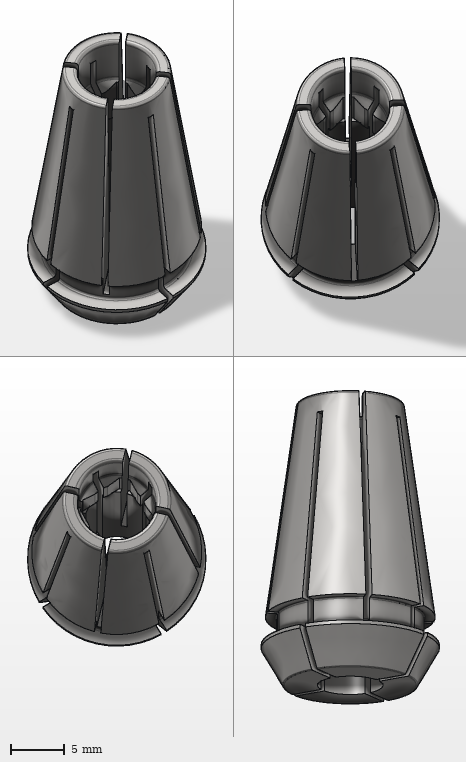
import cadquery as cq
import math

height = 27.5

flange_radius = 8.4
flange_cone_top = 3.6
flange_top = 3.95
nose_angle = 30.0
nose_radius = flange_radius - flange_cone_top * math.tan(math.radians(nose_angle))
nose_fillet = 0.16

groove_radius = 6.95
groove_top = 6.65
groove_bottom_fillet = 0.25
groove_top_fillet = 0.15

taper_angle = 8.0
taper_base_radius = 8.0
taper_top_radius = taper_base_radius - (height - groove_top) * math.tan(math.radians(taper_angle))
rim_fillet = 0.28

shank_bore_radius = 3.08
pilot_radius = 2.83
square_half_width = 2.75
square_corner_radius = 3.4
square_bottom = 18.0
relief_radius = 3.7
relief_bottom = 22.75
relief_floor_angle = 45.0
relief_floor_fillet = 0.38
rim_bore_fillet = 0.35

slot_width = 0.6
lower_slot_top = 25.55
upper_slot_bottom = 4.5
slot_length = 3 * flange_radius


def outer_body():
    """Turned outside: nose cone, flange, groove and taper."""
    body = (
        cq.Workplane("XZ")
        .moveTo(0, 0)
        .lineTo(nose_radius, 0)
        .lineTo(flange_radius, flange_cone_top)
        .lineTo(flange_radius, flange_top)
        .lineTo(groove_radius + groove_bottom_fillet, flange_top)
        .radiusArc((groove_radius, flange_top + groove_bottom_fillet), groove_bottom_fillet)
        .lineTo(groove_radius, groove_top - groove_top_fillet)
        .radiusArc((groove_radius + groove_top_fillet, groove_top), groove_top_fillet)
        .lineTo(taper_base_radius, groove_top)
        .lineTo(taper_top_radius, height)
        .lineTo(0, height)
        .close()
        .revolve(360, (0, 0, 0), (0, 1, 0))
    )
    body = body.faces(">Z").edges().fillet(rim_fillet)
    return body.faces("<Z").edges().fillet(nose_fillet)


def stepped_bore():
    """Material removed from the axis: shank bore, square drive and relief bore."""
    shank_bore = cq.Workplane("XY").circle(shank_bore_radius).extrude(square_bottom)
    pilot = cq.Workplane("XY").circle(pilot_radius).extrude(relief_bottom)

    square_plane = cq.Workplane("XY", origin=(0, 0, square_bottom))
    square_height = relief_bottom - square_bottom
    square = square_plane.rect(2 * square_half_width, 2 * square_half_width).extrude(square_height)
    square = square.intersect(square_plane.circle(square_corner_radius).extrude(square_height))

    cone_depth = relief_radius * math.tan(math.radians(relief_floor_angle))
    relief = (
        cq.Workplane("XZ")
        .moveTo(0, relief_bottom - cone_depth)
        .lineTo(relief_radius, relief_bottom)
        .lineTo(relief_radius, height)
        .lineTo(0, height)
        .close()
        .revolve(360, (0, 0, 0), (0, 1, 0))
    )
    relief = relief.edges("%CIRCLE").edges("<Z").fillet(relief_floor_fillet)
    return shank_bore.union(pilot).union(square).union(relief)


def slot(bottom, top, angle):
    """Flat slot through the whole width, turned about the axis."""
    return (
        cq.Workplane("XY", origin=(0, 0, bottom))
        .rect(slot_length, slot_width)
        .extrude(top - bottom)
        .rotate((0, 0, 0), (0, 0, 1), angle)
    )


result = outer_body().cut(stepped_bore())
rim_bore_edge = cq.selectors.RadiusNthSelector(0)
result = result.faces(">Z").edges(rim_bore_edge).fillet(rim_bore_fillet)
for axis_angle in (0, 90):
    result = result.cut(slot(0, lower_slot_top, axis_angle))
    result = result.cut(slot(upper_slot_bottom, height, axis_angle + 45))